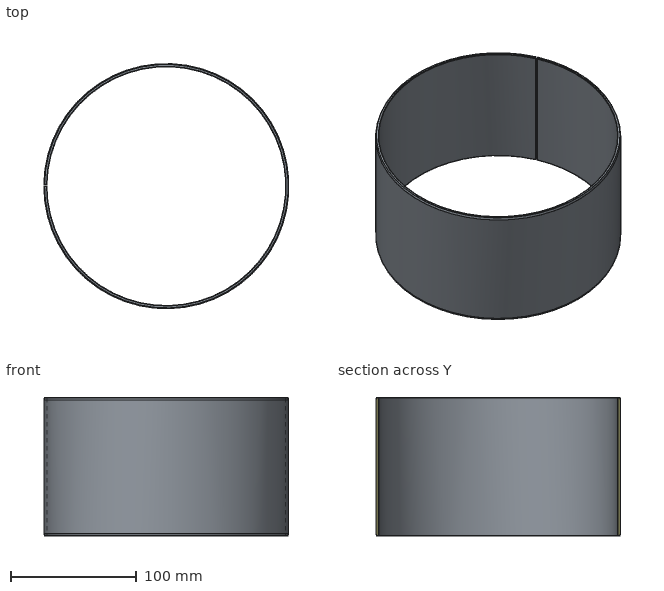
import cadquery as cq

outer_diameter = 195.0
height = 110.0
wall = 2.5
bevel_height = 1.8
bevel_depth = 0.65
inner_chamfer = 0.35
slit_width = 1.5

outer_radius = outer_diameter / 2
inner_radius = outer_radius - wall


def make_ring():
    """Closed thin-walled band standing on Z = 0, with its outer and inner rims cut back."""
    outer_end = outer_radius - bevel_depth
    inner_end = inner_radius + inner_chamfer
    section = [
        (-inner_end, 0),
        (-outer_end, 0),
        (-outer_radius, bevel_height),
        (-outer_radius, height - bevel_height),
        (-outer_end, height),
        (-inner_end, height),
        (-inner_radius, height - inner_chamfer),
        (-inner_radius, inner_chamfer),
    ]
    profile = cq.Workplane("XZ").polyline(section).close()
    return profile.revolve(360, (0, 0, 0), (0, 1, 0))


def make_slit():
    """Full-height cutter through the -X wall, lying on the +Y side of the Y = 0 plane."""
    cutter = cq.Workplane("XY").box(outer_diameter, slit_width, height, centered=False)
    return cutter.translate((-outer_diameter, 0, 0))


result = make_ring().cut(make_slit())